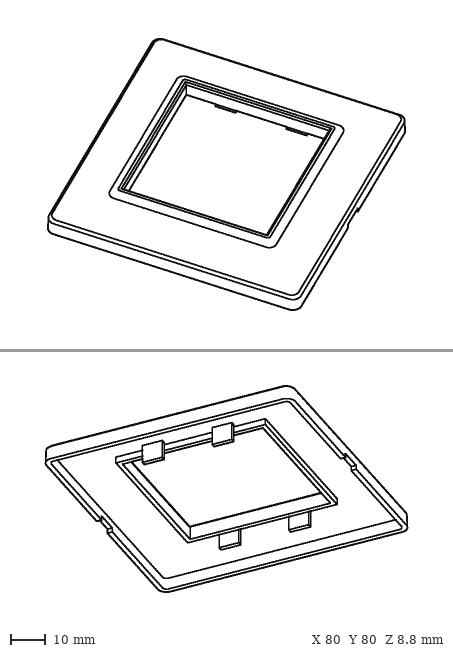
import cadquery as cq
frame_size = 80.0
outer_corner_radius = 2.8
wall_draft = 0.2
wall_top = 4.3
wall_thickness = 1.6
skin_thickness = 1.4

shoulder_inset = 1.0
shoulder_height = 5.1
bevel_inset = 13.7
bevel_height = 7.4
slope_corner_radius = 2.2

frame_height = 8.8
rim_inset = 16.0
rim_corner_radius = 0.8

window_inset = 17.4
window_chamfer = 0.6
window_wall_thickness = 1.4
window_wall_bottom = 4.0

notch_width = 7.0
notch_height = 1.4

clip_width = 6.4
clip_thickness = 1.4
clip_spacing = 22.4
clip_inner_face = 25.0
clip_bottom = 0.2


def square_at(inset):
    """Side length of a square set in from the frame edge."""
    return frame_size - 2 * inset


def square_block(inset, bottom, top):
    """Upright sharp-cornered square block."""
    side = square_at(inset)
    return cq.Workplane("XY").workplane(offset=bottom).rect(side, side).extrude(top - bottom)


def square_wire(inset, height, radius):
    """Rounded square outline at a given height."""
    side = square_at(inset)
    block = cq.Workplane("XY").workplane(offset=height).rect(side, side).extrude(0.8)
    return block.edges("|Z").fillet(radius).faces("<Z").wires().val()


def stacked_tapers(sections):
    """Solid with straight tapers between neighbouring (inset, height, radius) sections."""
    wires = [square_wire(*section) for section in sections]
    return cq.Workplane(cq.Solid.makeLoft(wires, True))


def outer_body():
    return stacked_tapers(
        [
            (0, 0, outer_corner_radius),
            (wall_draft, wall_top, outer_corner_radius - wall_draft),
            (shoulder_inset, shoulder_height, slope_corner_radius),
            (bevel_inset, bevel_height, slope_corner_radius),
            (rim_inset, frame_height, rim_corner_radius),
        ]
    )


def hollow():
    """Space under the sloped face, open at the bottom."""
    cavity_radius = outer_corner_radius - wall_thickness
    return stacked_tapers(
        [
            (wall_thickness, 0, cavity_radius),
            (wall_thickness, shoulder_height - skin_thickness, cavity_radius),
            (bevel_inset, bevel_height - skin_thickness, cavity_radius),
        ]
    )


def window_wall():
    return square_block(window_inset - window_wall_thickness, window_wall_bottom, bevel_height)


def window_opening():
    side = square_at(window_inset)
    top_side = side + 2 * window_chamfer
    opening = square_block(window_inset, 0, frame_height)
    chamfer = (
        cq.Workplane("XY")
        .workplane(offset=frame_height - window_chamfer)
        .rect(side, side)
        .workplane(offset=window_chamfer)
        .rect(top_side, top_side)
        .loft(ruled=True)
    )
    return opening.union(chamfer)


def clips():
    """Four clips, with their tops embedded in the skin."""
    clip_height = bevel_height - skin_thickness / 2 - clip_bottom
    row_spacing = 2 * clip_inner_face + clip_thickness
    return (
        cq.Workplane("XY")
        .workplane(offset=clip_bottom)
        .rarray(clip_spacing, row_spacing, 2, 2)
        .rect(clip_width, clip_thickness)
        .extrude(clip_height)
    )


def side_notches():
    return cq.Workplane("XY").box(2 * frame_size, notch_width, 2 * notch_height)


result = (
    outer_body()
    .cut(hollow())
    .union(window_wall())
    .union(clips())
    .cut(window_opening())
    .cut(side_notches())
)